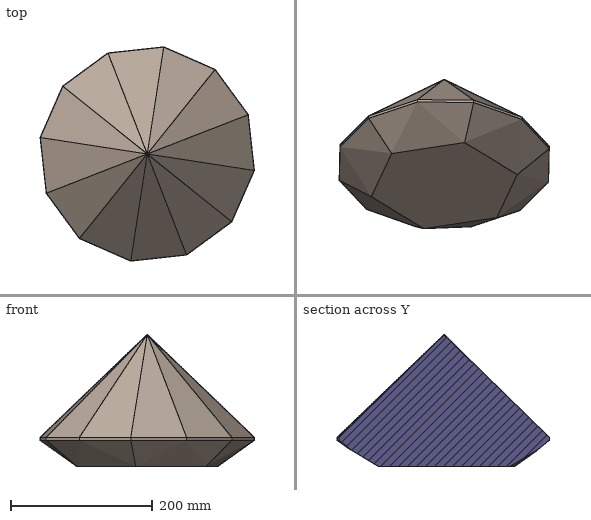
import cadquery as cq
import math


overall_width = 303.08
overall_height = 187.01
girdle_thickness = 4.2
pavilion_height = 37.2
table_radius = 106.5
first_corner_angle = -8.75

table_sides = 6
girdle_sides = 2 * table_sides

girdle_radius = overall_width / 2 / math.cos(math.radians(first_corner_angle))
girdle_bottom_z = pavilion_height
girdle_top_z = girdle_bottom_z + girdle_thickness

girdle_step = 360 / girdle_sides
table_corner_angle = first_corner_angle + girdle_step


def ring_of_corners(radius, sides, start_angle, z):
    """Corners of a regular polygon about the Z axis, counter-clockwise."""
    corners = []
    for index in range(sides):
        angle = math.radians(start_angle + index * 360 / sides)
        corners.append(cq.Vector(radius * math.cos(angle), radius * math.sin(angle), z))
    return corners


def facet(*corners):
    """Flat face bounded by straight edges through the given corners."""
    return cq.Face.makeFromWires(cq.Wire.makePolygon(list(corners), close=True))


def crown_facets(girdle_top, apex):
    """Triangles rising from each upper girdle edge to the apex."""
    facets = []
    for index, corner in enumerate(girdle_top):
        next_corner = girdle_top[(index + 1) % girdle_sides]
        facets.append(facet(corner, next_corner, apex))
    return facets


def girdle_facets(girdle_bottom, girdle_top):
    """Narrow upright rectangles around the rim."""
    facets = []
    for index in range(girdle_sides):
        following = (index + 1) % girdle_sides
        facets.append(
            facet(girdle_bottom[index], girdle_bottom[following], girdle_top[following], girdle_top[index])
        )
    return facets


def pavilion_facets(table, girdle_bottom):
    """Three triangles per table side: two on girdle edges, one on the table edge."""
    facets = []
    for index, table_corner in enumerate(table):
        next_table_corner = table[(index + 1) % table_sides]
        before = girdle_bottom[2 * index]
        aligned = girdle_bottom[2 * index + 1]
        after = girdle_bottom[(2 * index + 2) % girdle_sides]
        facets.append(facet(table_corner, aligned, before))
        facets.append(facet(table_corner, after, aligned))
        facets.append(facet(table_corner, next_table_corner, after))
    return facets


table = ring_of_corners(table_radius, table_sides, table_corner_angle, 0)
girdle_bottom = ring_of_corners(girdle_radius, girdle_sides, first_corner_angle, girdle_bottom_z)
girdle_top = ring_of_corners(girdle_radius, girdle_sides, first_corner_angle, girdle_top_z)
apex = cq.Vector(0, 0, overall_height)

faces = [facet(*reversed(table))]
faces += pavilion_facets(table, girdle_bottom)
faces += girdle_facets(girdle_bottom, girdle_top)
faces += crown_facets(girdle_top, apex)

gem = cq.Solid.makeSolid(cq.Shell.makeShell(faces))
result = cq.Workplane("XY").newObject([gem])